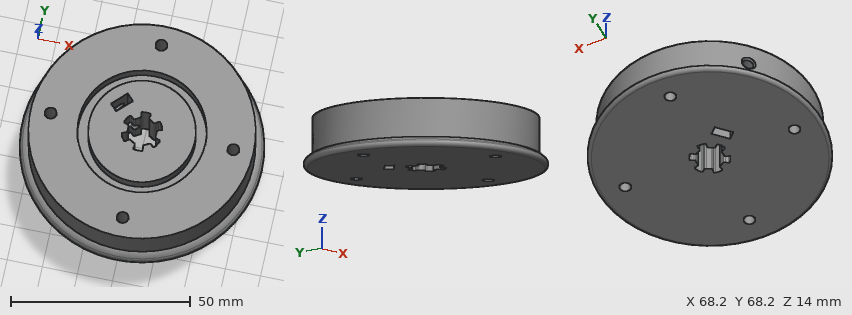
import cadquery as cq
import math

HEIGHT = 14.0
WALL_RADIUS = 63.25 / 2

RIM_RADIUS = 34.1
RIM_ROUND = 1.0
RIM_TOP = 3.0
SHOULDER_BEVEL = 0.4

GROOVE_OUTER_RADIUS = 36.0 / 2
HUB_RADIUS = 30.0 / 2
GROOVE_DEPTH = 4.0

MOUNT_HOLE_DIAMETER = 3.3
MOUNT_CIRCLE_RADIUS = 26.0
MOUNT_HOLE_COUNT = 4

TOOTH_COUNT = 6
CORE_APOTHEM = 4.0
TOOTH_TIP_RADIUS = 5.7
TOOTH_TIP_HALF_WIDTH = 1.35
TOOTH_NECK_HALF_WIDTH = 1.1
TOOTH_TIP_ROUND = 0.35
TOOTH_NECK_ROUND = 0.5

SCREW_ANGLE = 135.0
SCREW_HEIGHT = HEIGHT / 2
SCREW_DIAMETER = 3.2
SCREW_CHAMFER = 0.55
NUT_SLOT_RADIUS = 10.2
NUT_SLOT_LENGTH = 5.5
NUT_SLOT_THICKNESS = 2.65


def make_body():
    """Revolve the half section: rounded rim, bevel, curved shoulder, then the straight wall."""
    diagonal = math.sqrt(0.5)
    round_center_radius = RIM_RADIUS - RIM_ROUND
    bevel_start = (round_center_radius + RIM_ROUND * diagonal, RIM_ROUND * (1 + diagonal))
    bevel_end = (bevel_start[0] - SHOULDER_BEVEL, bevel_start[1] + SHOULDER_BEVEL)
    section = (
        cq.Workplane("XZ")
        .lineTo(round_center_radius, 0)
        .threePointArc((RIM_RADIUS, RIM_ROUND), bevel_start)
        .lineTo(*bevel_end)
        .tangentArcPoint((WALL_RADIUS, RIM_TOP), relative=False)
        .lineTo(WALL_RADIUS, HEIGHT)
        .lineTo(0, HEIGHT)
        .close()
    )
    return section.revolve(360, (0, 0, 0), (0, 1, 0))


def make_groove():
    return (
        cq.Workplane("XY", origin=(0, 0, HEIGHT - GROOVE_DEPTH))
        .circle(GROOVE_OUTER_RADIUS)
        .circle(HUB_RADIUS)
        .extrude(GROOVE_DEPTH)
    )


def make_mount_holes():
    return (
        cq.Workplane("XY")
        .polarArray(MOUNT_CIRCLE_RADIUS, 0, 360, MOUNT_HOLE_COUNT)
        .circle(MOUNT_HOLE_DIAMETER / 2)
        .extrude(HEIGHT)
    )


def make_spline_bore():
    """Build the bore outline tooth by tooth, the first tooth pointing along +Y."""
    pitch = 2 * math.pi / TOOTH_COUNT
    neck_y = (CORE_APOTHEM - TOOTH_NECK_HALF_WIDTH * math.sin(pitch / 2)) / math.cos(pitch / 2)
    tip_y = math.sqrt(TOOTH_TIP_RADIUS**2 - TOOTH_TIP_HALF_WIDTH**2)

    def tooth_point(index, x, y):
        angle = index * pitch
        return (
            x * math.cos(angle) - y * math.sin(angle),
            x * math.sin(angle) + y * math.cos(angle),
        )

    outline = cq.Workplane("XY").moveTo(TOOTH_NECK_HALF_WIDTH, neck_y)
    for index in range(TOOTH_COUNT):
        if index > 0:
            outline = outline.lineTo(*tooth_point(index, TOOTH_NECK_HALF_WIDTH, neck_y))
        outline = (
            outline.lineTo(*tooth_point(index, TOOTH_TIP_HALF_WIDTH, tip_y))
            .threePointArc(
                tooth_point(index, 0, TOOTH_TIP_RADIUS),
                tooth_point(index, -TOOTH_TIP_HALF_WIDTH, tip_y),
            )
            .lineTo(*tooth_point(index, -TOOTH_NECK_HALF_WIDTH, neck_y))
        )
    bore = outline.close().extrude(HEIGHT)

    between = (CORE_APOTHEM + TOOTH_TIP_RADIUS) / 2
    corners = bore.edges("|Z").vals()
    neck_corners = [edge for edge in corners if math.hypot(*edge.Center().toTuple()[:2]) < between]
    tip_corners = [edge for edge in corners if edge not in neck_corners]
    rounded = bore.val().fillet(TOOTH_NECK_ROUND, neck_corners)
    return cq.Workplane(rounded.fillet(TOOTH_TIP_ROUND, tip_corners))


def make_set_screw_hole():
    """Radial hole from the wall to the axis, with a conical mouth at the wall."""
    hole_radius = SCREW_DIAMETER / 2
    mouth_radius = hole_radius + SCREW_CHAMFER
    overrun = 0.7
    section = (
        cq.Workplane("XZ")
        .lineTo(WALL_RADIUS + overrun, 0)
        .lineTo(WALL_RADIUS + overrun, mouth_radius + overrun)
        .lineTo(WALL_RADIUS - SCREW_CHAMFER, hole_radius)
        .lineTo(0, hole_radius)
        .close()
    )
    hole = section.revolve(360, (0, 0, 0), (1, 0, 0))
    return hole.rotate((0, 0, 0), (0, 0, 1), SCREW_ANGLE).translate((0, 0, SCREW_HEIGHT))


def make_nut_slot():
    slot = (
        cq.Workplane("XY")
        .center(NUT_SLOT_RADIUS, 0)
        .rect(NUT_SLOT_THICKNESS, NUT_SLOT_LENGTH)
        .extrude(HEIGHT)
    )
    return slot.rotate((0, 0, 0), (0, 0, 1), SCREW_ANGLE)


result = (
    make_body()
    .cut(make_groove())
    .cut(make_mount_holes())
    .cut(make_spline_bore())
    .cut(make_set_screw_hole())
    .cut(make_nut_slot())
)